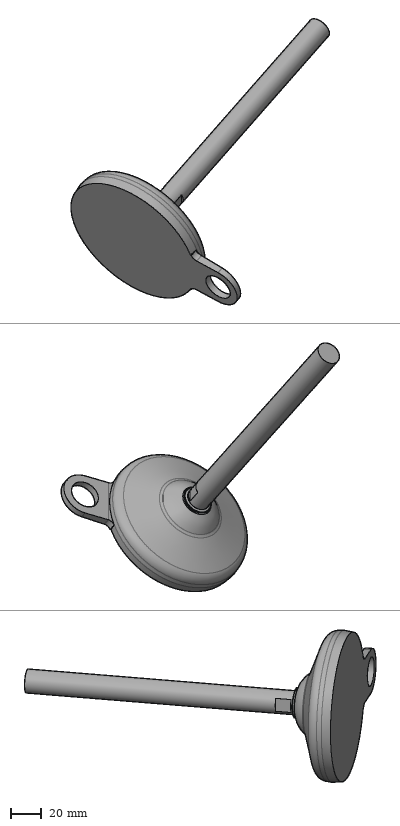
import cadquery as cq
import math

total_length = 215.0

rim_radius = 49.99
rim_height = 6.0
base_radius = 49.2
shoulder_start_radius = 49.7
shoulder_start_height = 9.2
shoulder_arc_radius = 7.0
cone_angle = math.radians(21)
cone_top_radius = 23.0
dome_base_radius = 21.0
dome_base_height = 25.4
dome_bulge = 1.0
dome_top_radius = 10.5
dome_top_height = 33.3

lug_center = 67.7
lug_radius = 15.3
lug_hole_diameter = 19.4
lug_root_fillet = 4.5
lug_root_thickness = 5.5
lug_tip_thickness = 4.0

rod_radius = 8.0
collar_radius = 10.0
collar_bevel_height = 0.6
neck_radius = 9.5
neck_height = 1.3
flat_start = 36.3
flat_length = 10.3
across_flats = 13.1


def make_foot_body():
    """Revolved foot: drafted rim, rounded shoulder, cone and domed hub."""
    shoulder_center_radius = shoulder_start_radius - shoulder_arc_radius

    def shoulder_point(angle):
        return (
            shoulder_center_radius + shoulder_arc_radius * math.cos(angle),
            shoulder_start_height + shoulder_arc_radius * math.sin(angle),
        )

    shoulder_sweep = math.pi / 2 - cone_angle
    cone_base_radius, cone_base_height = shoulder_point(shoulder_sweep)
    cone_top_height = cone_base_height + (cone_base_radius - cone_top_radius) * math.tan(cone_angle)

    dome_length = math.hypot(dome_base_radius - dome_top_radius, dome_top_height - dome_base_height)
    dome_middle = (
        (dome_base_radius + dome_top_radius) / 2
        + dome_bulge * (dome_top_height - dome_base_height) / dome_length,
        (dome_base_height + dome_top_height) / 2
        + dome_bulge * (dome_base_radius - dome_top_radius) / dome_length,
    )
    return (
        cq.Workplane("XY")
        .lineTo(base_radius, 0)
        .lineTo(rim_radius, rim_height)
        .lineTo(shoulder_start_radius, shoulder_start_height)
        .threePointArc(shoulder_point(shoulder_sweep / 2), (cone_base_radius, cone_base_height))
        .lineTo(cone_top_radius, cone_top_height)
        .tangentArcPoint((dome_base_radius, dome_base_height), relative=False)
        .threePointArc(dome_middle, (dome_top_radius, dome_top_height))
        .lineTo(0, dome_top_height)
        .close()
        .revolve(360, (0, 0), (0, 1))
    )


def make_lug():
    """Tapered eye lug whose concave root arcs are tangent to the rim."""
    fillet_z = lug_radius + lug_root_fillet
    fillet_reach = rim_radius + lug_root_fillet
    fillet_x = math.sqrt(fillet_reach**2 - fillet_z**2)
    root_x = fillet_x * rim_radius / fillet_reach
    root_z = fillet_z * rim_radius / fillet_reach
    middle_angle = (math.atan2(-fillet_z, -fillet_x) - math.pi / 2) / 2
    middle_x = fillet_x + lug_root_fillet * math.cos(middle_angle)
    middle_z = fillet_z + lug_root_fillet * math.sin(middle_angle)
    tip_x = lug_center + lug_radius

    outline = (
        cq.Workplane("XZ")
        .lineTo(root_x, -root_z)
        .threePointArc((middle_x, -middle_z), (fillet_x, -lug_radius))
        .lineTo(lug_center, -lug_radius)
        .threePointArc((tip_x, 0), (lug_center, lug_radius))
        .lineTo(fillet_x, lug_radius)
        .threePointArc((middle_x, middle_z), (root_x, root_z))
        .close()
        .extrude(-lug_root_thickness)
    )
    taper = (
        cq.Workplane("XY")
        .lineTo(tip_x, 0)
        .lineTo(tip_x, lug_tip_thickness)
        .lineTo(fillet_x, lug_root_thickness)
        .lineTo(0, lug_root_thickness)
        .close()
        .extrude(rim_radius, both=True)
    )
    hole = (
        cq.Workplane("XZ")
        .center(lug_center, 0)
        .circle(lug_hole_diameter / 2)
        .extrude(-lug_root_thickness)
    )
    return outline.intersect(taper).cut(hole)


def make_foot():
    return make_foot_body().union(make_lug())


def make_spindle():
    """Round rod with a necked, beveled collar resting on the foot and two wrench flats."""
    spindle = (
        cq.Workplane("XY", origin=(0, dome_top_height, 0))
        .lineTo(neck_radius, 0)
        .lineTo(neck_radius, neck_height)
        .lineTo(collar_radius, neck_height)
        .lineTo(rod_radius, neck_height + collar_bevel_height)
        .lineTo(rod_radius, total_length - dome_top_height)
        .lineTo(0, total_length - dome_top_height)
        .close()
        .revolve(360, (0, 0), (0, 1))
    )
    flat_depth = rod_radius - across_flats / 2
    for side in (-1, 1):
        flat_cut = cq.Workplane("XY").box(flat_depth, flat_length, 2 * rod_radius)
        flat_x = side * (across_flats + flat_depth) / 2
        spindle = spindle.cut(flat_cut.translate((flat_x, flat_start + flat_length / 2, 0)))
    return spindle


foot = make_foot()
spindle = make_spindle()
result = cq.Compound.makeCompound([foot.val(), spindle.val()])